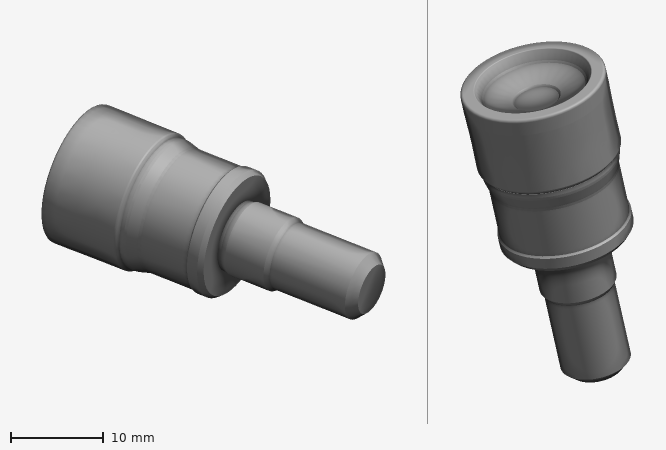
import cadquery as cq

TOTAL_LENGTH = 36.95

CAP_REAR_DIAMETER = 15.9
CAP_FRONT_DIAMETER = 16.0
CAP_LENGTH = 9.7
CAP_FRONT_FILLET = 0.35
CAP_TAPER_START = 1.9
CAP_REAR_CHAMFER = 0.4
CAP_REAR_FILLET = 0.3

MOUTH_DIAMETER = 12.9
MOUTH_FILLET = 0.15
MOUTH_FLOOR_DIAMETER = 11.53
MOUTH_DEPTH = 1.07
DISH_DIAMETER = 11.1
DISH_START = 1.3
DISH_END = 2.18
POCKET_RIM_DIAMETER = 5.32
POCKET_FLOOR_DIAMETER = 4.88
POCKET_DEPTH = 2.4

NECK_DIAMETER = 15.2
NECK_END = 10.38
BARREL_DIAMETER = 14.35
BARREL_START = 11.97
NECK_BLEND_RADIUS = 1.3
FLANGE_DIAMETER = 14.75
FLANGE_START = 17.9
FLANGE_END = 19.95
FLANGE_REAR_CHAMFER_LENGTH = 0.55
FLANGE_REAR_CHAMFER_DEPTH = 0.45

STEM_ROOT_DIAMETER = 8.1
STEM_ROOT_END = 20.3
COLLAR_DIAMETER = 8.5
COLLAR_START = 21.0
COLLAR_CHAMFER_START = 25.85
COLLAR_END = 26.4
TIP_DIAMETER = 7.75
TIP_CHAMFER = 1.05


def turn(outline):
    """Revolve a closed half outline, drawn as (x, radius), about the X axis."""
    return outline.close().revolve(360, (0, 0, 0), (1, 0, 0))


def edge_ring(body, x, radius):
    """Select the circular edge at the given x position and radius."""
    reach = 0.02
    return body.edges(
        cq.selectors.BoxSelector(
            (x - reach, -radius - reach, -radius - reach),
            (x + reach, radius + reach, radius + reach),
            boundingbox=True,
        )
    )


def make_cap():
    """Slightly tapered cap with a dished recess and a shallow pocket in its open end."""
    rear_radius = CAP_REAR_DIAMETER / 2
    front_radius = CAP_FRONT_DIAMETER / 2
    chamfer_start = CAP_LENGTH - CAP_REAR_CHAMFER
    blank = turn(
        cq.Workplane("XY")
        .lineTo(0, front_radius - CAP_FRONT_FILLET)
        .radiusArc((CAP_FRONT_FILLET, front_radius), CAP_FRONT_FILLET)
        .lineTo(CAP_TAPER_START, front_radius)
        .lineTo(chamfer_start, rear_radius)
        .lineTo(CAP_LENGTH, rear_radius - CAP_REAR_CHAMFER)
        .lineTo(CAP_LENGTH, 0)
    )
    blank = edge_ring(blank, chamfer_start, rear_radius).fillet(CAP_REAR_FILLET)
    recess = turn(
        cq.Workplane("XY")
        .lineTo(0, MOUTH_DIAMETER / 2)
        .lineTo(MOUTH_DEPTH, MOUTH_FLOOR_DIAMETER / 2)
        .lineTo(DISH_START, DISH_DIAMETER / 2)
        .lineTo(DISH_END, POCKET_RIM_DIAMETER / 2)
        .lineTo(POCKET_DEPTH, POCKET_FLOOR_DIAMETER / 2)
        .lineTo(POCKET_DEPTH, 0)
    )
    cap = blank.cut(recess)
    return edge_ring(cap, 0, MOUTH_DIAMETER / 2).fillet(MOUTH_FILLET)


def make_spindle():
    """Flanged barrel that butts against the cap and carries the stepped stem."""
    neck_radius = NECK_DIAMETER / 2
    barrel_radius = BARREL_DIAMETER / 2
    flange_radius = FLANGE_DIAMETER / 2
    collar_radius = COLLAR_DIAMETER / 2
    root_radius = STEM_ROOT_DIAMETER / 2
    tip_radius = TIP_DIAMETER / 2
    flange_front_chamfer = flange_radius - barrel_radius
    spindle = turn(
        cq.Workplane("XY")
        .moveTo(CAP_LENGTH, 0)
        .lineTo(CAP_LENGTH, neck_radius)
        .lineTo(NECK_END, neck_radius)
        .lineTo(BARREL_START, barrel_radius)
        .lineTo(FLANGE_START, barrel_radius)
        .lineTo(FLANGE_START + flange_front_chamfer, flange_radius)
        .lineTo(FLANGE_END - FLANGE_REAR_CHAMFER_LENGTH, flange_radius)
        .lineTo(FLANGE_END, flange_radius - FLANGE_REAR_CHAMFER_DEPTH)
        .lineTo(FLANGE_END, root_radius)
        .lineTo(STEM_ROOT_END, root_radius)
        .lineTo(COLLAR_START, collar_radius)
        .lineTo(COLLAR_CHAMFER_START, collar_radius)
        .lineTo(COLLAR_END, tip_radius)
        .lineTo(TOTAL_LENGTH - TIP_CHAMFER, tip_radius)
        .lineTo(TOTAL_LENGTH, tip_radius - TIP_CHAMFER)
        .lineTo(TOTAL_LENGTH, 0)
    )
    spindle = edge_ring(spindle, NECK_END, neck_radius).fillet(NECK_BLEND_RADIUS)
    return edge_ring(spindle, BARREL_START, barrel_radius).fillet(NECK_BLEND_RADIUS)


cap = make_cap()
spindle = make_spindle()

result = cq.Compound.makeCompound([cap.val(), spindle.val()])